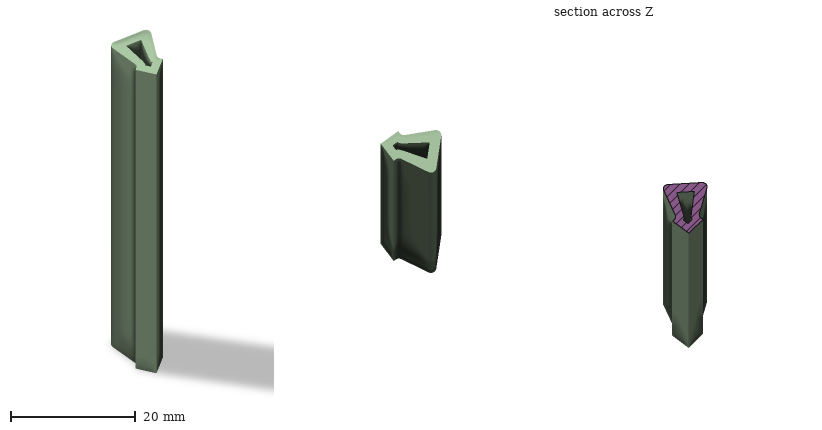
import cadquery as cq
import math

length = 71.7
width = 8.8

flange_width = 3.5
flank_angle = math.radians(27)
head_radius = 0.85
root_radius = 0.8
head_center_height = 4.15

cavity_far = 6.45
cavity_near = 4.5
wall_end_far = 3.1
wall_end_near = 2.2
notch_wall = 1.35
notch_reach = 2.4
notch_step = 1.65


def mirrored(point):
    """Reflect a section point about the diagonal."""
    return (point[1], point[0])


def on_circle(center, radius, angle):
    """Point on a circle at an angle in radians."""
    return (center[0] + radius * math.cos(angle), center[1] + radius * math.sin(angle))


def placed(point):
    """Turn distances inward from the square corner into centred X and Y."""
    return (width / 2 - point[0], point[1] - width / 2)


flank_normal = flank_angle - math.pi / 2
head_center = (width - head_radius, head_center_height)
head_start = on_circle(head_center, head_radius, flank_normal)
head_middle = on_circle(head_center, head_radius, 0)
head_end = on_circle(head_center, head_radius, math.pi / 4)

root_center_x = flange_width + root_radius
root_end_x = root_center_x - root_radius * math.cos(flank_normal)
root_end_y = head_start[1] - (head_start[0] - root_end_x) * math.tan(flank_angle)
root_center = (root_center_x, root_end_y + root_radius * math.sin(flank_normal))
root_start = on_circle(root_center, root_radius, math.pi)
root_middle = on_circle(root_center, root_radius, math.pi + flank_normal / 2)
root_end = (root_end_x, root_end_y)

outline = (
    cq.Workplane("XY")
    .workplane(offset=-length / 2)
    .moveTo(*placed((0, 0)))
    .lineTo(*placed((flange_width, 0)))
    .lineTo(*placed(root_start))
    .threePointArc(placed(root_middle), placed(root_end))
    .lineTo(*placed(head_start))
    .threePointArc(placed(head_middle), placed(head_end))
    .lineTo(*placed(mirrored(head_end)))
    .threePointArc(placed(mirrored(head_middle)), placed(mirrored(head_start)))
    .lineTo(*placed(mirrored(root_end)))
    .threePointArc(placed(mirrored(root_middle)), placed(mirrored(root_start)))
    .lineTo(*placed((0, flange_width)))
    .close()
)
body = outline.extrude(length)

cavity_side = [
    (notch_reach, notch_wall),
    (notch_reach, notch_step),
    (wall_end_far, wall_end_near),
    (cavity_far, cavity_near),
]
cavity_points = [(notch_wall, notch_wall)] + cavity_side
cavity_points += [mirrored(point) for point in reversed(cavity_side)]
cavity = (
    cq.Workplane("XY")
    .workplane(offset=-length / 2)
    .polyline([placed(point) for point in cavity_points])
    .close()
    .extrude(length)
)

result = body.cut(cavity)